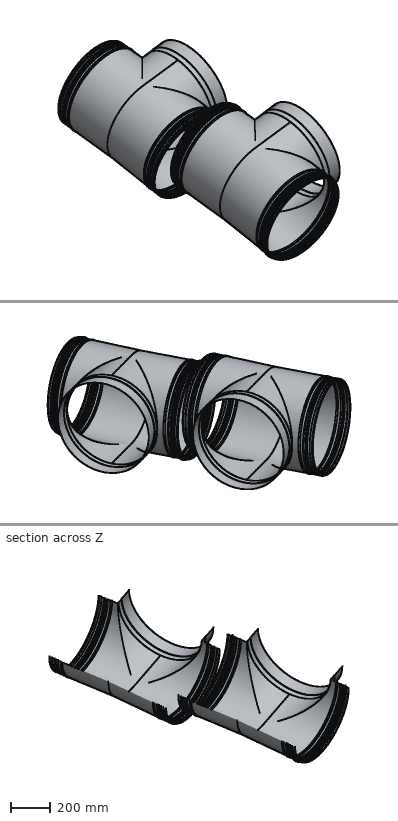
import cadquery as cq
import math

wall = 1.0
pipe_bore_radius = 500.0 / 2
pipe_radius = pipe_bore_radius + wall
spigot_radius = 494.0 / 2 + wall

tilt = 1.5
run_length = 356.0
miter_allowance = 28.0

slope = 2.1
rim_start, rim_end = 3.0, 19.0
ridge_start, ridge_end = 31.0, 43.0
shoulder_start = 53.0
bead_start, bead_end = 70.0, 80.0
bead_height = 3.0

weld_height = 252.0
step_height = 282.0
collar_height = 355.0
collar_bore_radius = 503.0 / 2
collar_radius = collar_bore_radius + wall

lip_radius = 514.0 / 2
lip_position = 25.0
lip_base_width = 5.0
seal_thickness = 1.0

overall_length = 1425.0
branch_shift = 113.0
tilt_angle = math.radians(tilt)
tee_reach = run_length * math.cos(tilt_angle) + spigot_radius * math.sin(tilt_angle)
tee_offset = (overall_length - 2 * tee_reach, branch_shift, 0)

groove_points = [
    (rim_end, spigot_radius),
    (ridge_start, spigot_radius),
    (ridge_start + slope, pipe_radius),
    (ridge_end - slope, pipe_radius),
    (ridge_end, spigot_radius),
    (shoulder_start, spigot_radius),
]


def along_axis(points):
    """Turn (distance from the open end, radius) into (axial position, radius)."""
    return [(run_length - distance, radius) for distance, radius in points]


def revolve_about_x(outline):
    return outline.close().revolve(360, (0, 0, 0), (1, 0, 0))


def rolled_cylinder(inset):
    """Solid along X inside the outer face of the right run pipe, all radii smaller by inset."""
    bead_middle = (bead_start + bead_end) / 2
    profile = [
        (0, spigot_radius),
        (rim_start, spigot_radius),
        (rim_start + slope, pipe_radius),
        (rim_end - slope, pipe_radius),
        *groove_points,
        (shoulder_start + slope, pipe_radius),
        (bead_start, pipe_radius),
        (bead_middle, pipe_radius + bead_height),
        (bead_end, pipe_radius),
    ]
    inset_profile = [(distance, radius - inset) for distance, radius in profile]
    *end_points, bead_top, bead_foot = along_axis(inset_profile)
    return revolve_about_x(
        cq.Workplane("XY")
        .moveTo(run_length, 0)
        .polyline(end_points, includeCurrent=True)
        .threePointArc(bead_top, bead_foot)
        .lineTo(-miter_allowance, pipe_radius - inset)
        .lineTo(-miter_allowance, 0)
    )


def tilted(body):
    return body.rotate((0, 0, 0), (0, 0, 1), -tilt)


def cylinder_along_y(radius, height):
    return cq.Workplane("XZ").circle(radius).extrude(-height)


def run_half():
    """Right half of a tee: mitred run pipe with half of the saddle that carries the branch."""
    outside = tilted(rolled_cylinder(0)).union(cylinder_along_y(pipe_radius, weld_height))
    bore = tilted(rolled_cylinder(wall)).union(cylinder_along_y(pipe_bore_radius, weld_height))
    right_of_miter = cq.Workplane("XY").box(
        2 * run_length, 4 * run_length, 4 * run_length, centered=(False, True, True)
    )
    return outside.intersect(right_of_miter).cut(bore)


def branch_collar():
    """Stepped ring on the saddle: its wide upper part is the socket for another pipe."""
    return (
        cq.Workplane("XY")
        .moveTo(pipe_bore_radius, weld_height)
        .lineTo(pipe_radius, weld_height)
        .lineTo(pipe_radius, step_height)
        .lineTo(collar_radius, step_height)
        .lineTo(collar_radius, collar_height)
        .lineTo(collar_bore_radius, collar_height)
        .lineTo(collar_bore_radius, step_height + wall)
        .lineTo(pipe_bore_radius, step_height + wall)
        .close()
        .revolve(360, (0, 0, 0), (0, 1, 0))
    )


def end_seal():
    """Rubber ring on the grooves and ridge of the right run pipe, with one raised lip."""
    seal_radius = pipe_radius + seal_thickness
    top_points = [
        (shoulder_start, pipe_radius),
        (ridge_end, seal_radius),
        (lip_position + lip_base_width / 2, seal_radius),
        (lip_position, lip_radius),
        (lip_position - lip_base_width / 2, seal_radius),
        (rim_end, pipe_radius),
    ]
    outline = cq.Workplane("XY").polyline(along_axis(groove_points + top_points))
    return tilted(revolve_about_x(outline))


def both_sides(right_body):
    return [right_body, right_body.mirror("YZ")]


first_tee = [*both_sides(run_half()), branch_collar()]

second_tee = []
for part in [*both_sides(run_half()), branch_collar(), *both_sides(end_seal())]:
    second_tee.append(part.translate(tee_offset))
first_right_half = first_tee[0]
second_tee[1] = second_tee[1].cut(first_right_half)

result = cq.Compound.makeCompound([part.val() for part in first_tee + second_tee])